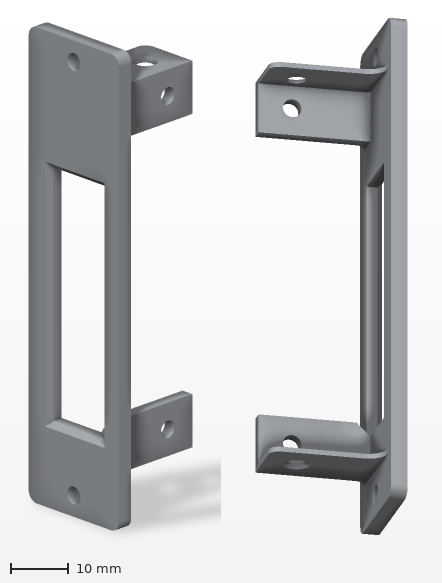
import cadquery as cq

PLATE_WIDTH = 22.2
PLATE_HEIGHT = 88.5
PLATE_THICKNESS = 3.0
PLATE_CORNER_RADIUS = 1.95
SCREW_HOLE_DIAMETER = 3.3
SCREW_HOLE_INSET = 4.0

WINDOW_WIDTH = 12.6
WINDOW_HEIGHT = 47.1
WINDOW_CENTER_X = 0.3
WINDOW_CENTER_Z = -4.8
BEVEL = 1.1

TOTAL_DEPTH = 23.0
BRACKET_WIDTH = 11.5
BRACKET_CENTER_X = 0.3
BRACKET_HEIGHT = 9.9
BRACKET_END_INSET = 8.3
SHELF_THICKNESS = 0.9
FLANGE_THICKNESS = 2.4
SHELF_CORNER_RADIUS = 1.95
SHELF_FILLET = 3.4
FLANGE_FILLET = 2.3
FLANGE_CHAMFER = 2.5
BRACKET_HOLE_DIAMETER = 3.3
COUNTERSINK_DIAMETER = 4.6
HOLE_FROM_PLATE = 14.0
SHELF_HOLE_X = 0.4

BRACKET_LEFT = BRACKET_CENTER_X - BRACKET_WIDTH / 2
BRACKET_RIGHT = BRACKET_CENTER_X + BRACKET_WIDTH / 2
FLANGE_LEFT = BRACKET_RIGHT - FLANGE_THICKNESS
BRACKET_BOTTOM = BRACKET_END_INSET - PLATE_HEIGHT / 2
BRACKET_TOP = BRACKET_BOTTOM + BRACKET_HEIGHT
HOLE_Y = PLATE_THICKNESS + HOLE_FROM_PLATE


def make_plate():
    """Rounded plate with a screw hole near each end."""
    hole_z = PLATE_HEIGHT / 2 - SCREW_HOLE_INSET
    plate = (
        cq.Workplane("XZ")
        .rect(PLATE_WIDTH, PLATE_HEIGHT)
        .extrude(-PLATE_THICKNESS)
        .edges("|Y")
        .fillet(PLATE_CORNER_RADIUS)
    )
    holes = (
        cq.Workplane("XZ")
        .pushPoints([(0, hole_z), (0, -hole_z)])
        .circle(SCREW_HOLE_DIAMETER / 2)
        .extrude(-PLATE_THICKNESS)
    )
    return plate.cut(holes)


def make_window():
    """Straight opening plus the flared rim at the front face."""
    plane = cq.Workplane("XZ").center(WINDOW_CENTER_X, WINDOW_CENTER_Z)
    opening = plane.rect(WINDOW_WIDTH, WINDOW_HEIGHT).extrude(-PLATE_THICKNESS)
    rim = (
        plane.rect(WINDOW_WIDTH + 2 * BEVEL, WINDOW_HEIGHT + 2 * BEVEL)
        .workplane(offset=-BEVEL)
        .rect(WINDOW_WIDTH, WINDOW_HEIGHT)
        .loft(ruled=True)
    )
    return opening.union(rim)


def bracket_outline():
    """Plan shape of the bracket, flaring into the plate on both sides."""
    return (
        cq.Workplane("XY", origin=(0, 0, BRACKET_BOTTOM))
        .moveTo(BRACKET_LEFT - SHELF_FILLET, PLATE_THICKNESS)
        .radiusArc((BRACKET_LEFT, PLATE_THICKNESS + SHELF_FILLET), -SHELF_FILLET)
        .lineTo(BRACKET_LEFT, TOTAL_DEPTH - SHELF_CORNER_RADIUS)
        .radiusArc((BRACKET_LEFT + SHELF_CORNER_RADIUS, TOTAL_DEPTH), SHELF_CORNER_RADIUS)
        .lineTo(BRACKET_RIGHT, TOTAL_DEPTH)
        .lineTo(BRACKET_RIGHT, PLATE_THICKNESS + FLANGE_FILLET)
        .radiusArc((BRACKET_RIGHT + FLANGE_FILLET, PLATE_THICKNESS), -FLANGE_FILLET)
        .close()
    )


def make_lower_bracket():
    """Lower shelf with its flange rising on the +X side, both drilled."""
    shelf = bracket_outline().extrude(SHELF_THICKNESS)
    flange_zone = (
        cq.Workplane("XY", origin=(FLANGE_LEFT, 0, BRACKET_BOTTOM))
        .rect(FLANGE_THICKNESS + FLANGE_FILLET, TOTAL_DEPTH, centered=False)
        .extrude(BRACKET_HEIGHT)
    )
    flange = bracket_outline().extrude(BRACKET_HEIGHT).intersect(flange_zone)
    flange_hole = (
        cq.Workplane("YZ", origin=(FLANGE_LEFT, HOLE_Y, BRACKET_BOTTOM + BRACKET_HEIGHT / 2))
        .circle(BRACKET_HOLE_DIAMETER / 2)
        .extrude(FLANGE_THICKNESS)
    )
    shelf_hole = (
        cq.Workplane("XY", origin=(SHELF_HOLE_X, HOLE_Y, BRACKET_BOTTOM))
        .circle(COUNTERSINK_DIAMETER / 2)
        .workplane(offset=SHELF_THICKNESS)
        .circle(BRACKET_HOLE_DIAMETER / 2)
        .loft(ruled=True)
    )
    return shelf.union(flange).cut(flange_hole).cut(shelf_hole)


def make_corner_relief():
    """Wedge that chamfers the lower flange where it meets the plate."""
    return (
        cq.Workplane("YZ", origin=(FLANGE_LEFT, 0, 0))
        .moveTo(PLATE_THICKNESS, BRACKET_TOP)
        .lineTo(PLATE_THICKNESS + FLANGE_CHAMFER, BRACKET_TOP)
        .lineTo(PLATE_THICKNESS, BRACKET_TOP - FLANGE_CHAMFER)
        .close()
        .extrude(FLANGE_THICKNESS + FLANGE_FILLET)
    )


bracket = make_lower_bracket()
upper_bracket = bracket.mirror("XY")
lower_bracket = bracket.cut(make_corner_relief())

result = make_plate().cut(make_window()).union(upper_bracket).union(lower_bracket)